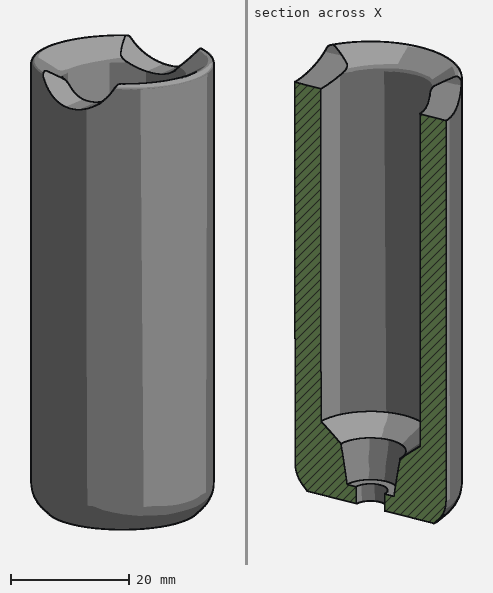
import cadquery as cq
import math

length = 79.1
outer_radius = 31.0 / 2

bottom_chamfer = 2.5
bottom_blend = 5.15

rim_slope = math.radians(30)
rim_round = 0.8
mouth_round = 1.5

bore_radius = 20.2 / 2
hole_radius = 5.8 / 2
floor_radius = 4.75
floor_height = 3.2
well_radius = 6.0
well_top = 10.3
funnel_slope = math.radians(38)

notch_radius = 8.1
notch_depth = 4.9


def polar(center, radius, angle):
    """Point at an angle on a circle in the radius-height plane."""
    return (center[0] + radius * math.cos(angle), center[1] + radius * math.sin(angle))


def make_profile():
    """Half section of the turned body, in the radius-height plane."""
    blend_height = bottom_chamfer + bottom_blend * math.tan(math.pi / 8)
    blend_center = (outer_radius - bottom_blend, blend_height)

    rim_center = (outer_radius - rim_round, length - rim_round)
    rim_normal = math.pi / 2 + rim_slope
    rim_end = polar(rim_center, rim_round, rim_normal)

    mouth_center_radius = bore_radius + mouth_round
    mouth_start_radius = mouth_center_radius - mouth_round * math.sin(rim_slope)
    mouth_start_height = rim_end[1] - (rim_end[0] - mouth_start_radius) * math.tan(rim_slope)
    mouth_center = (mouth_center_radius, mouth_start_height - mouth_round * math.cos(rim_slope))

    funnel_top = well_top + (bore_radius - well_radius) * math.tan(funnel_slope)

    return (
        cq.Workplane("XZ")
        .moveTo(hole_radius, 0)
        .lineTo(outer_radius - bottom_chamfer, 0)
        .lineTo(*polar(blend_center, bottom_blend, -math.pi / 4))
        .threePointArc(polar(blend_center, bottom_blend, -math.pi / 8), (outer_radius, blend_height))
        .lineTo(outer_radius, rim_center[1])
        .threePointArc(polar(rim_center, rim_round, rim_normal / 2), rim_end)
        .lineTo(mouth_start_radius, mouth_start_height)
        .threePointArc(
            polar(mouth_center, mouth_round, (rim_normal + math.pi) / 2),
            (bore_radius, mouth_center[1]),
        )
        .lineTo(bore_radius, funnel_top)
        .lineTo(well_radius, well_top)
        .lineTo(floor_radius, floor_height)
        .lineTo(hole_radius, floor_height)
        .close()
    )


def make_notch():
    """Round cutter along Y that crosses both sides of the rim."""
    return (
        cq.Workplane("XZ")
        .center(0, length - notch_depth + notch_radius)
        .circle(notch_radius)
        .extrude(outer_radius, both=True)
    )


body = make_profile().revolve(360, (0, 0, 0), (0, 1, 0))
result = body.cut(make_notch())